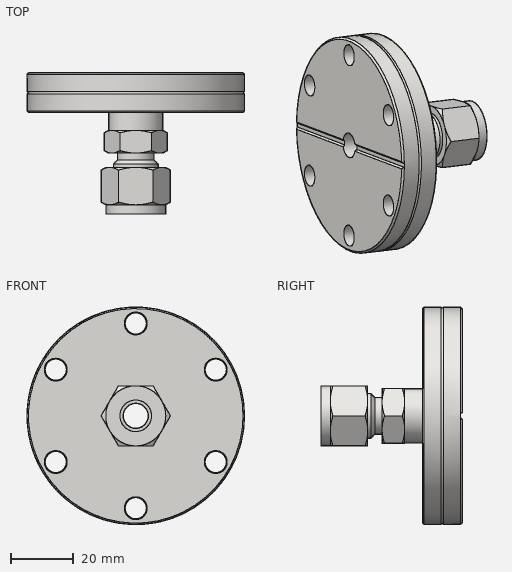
import cadquery as cq
import math


flange_diameter = 69.1
flange_thickness = 12.7
back_chamfer = 0.6
front_chamfer = 0.5
rim_groove_depth = 0.3
rim_groove_width = 0.8
rim_groove_from_back = 6.4
bolt_count = 6
bolt_circle_diameter = 58.7
bolt_hole_diameter = 6.7
bolt_hole_chamfer = 0.3
leak_groove_depth = 0.6
leak_groove_mouth = 2.35
leak_groove_floor = 1.25

bore_diameter = 7.9
stub_diameter = 17.3
stub_end = 5.7
body_hex_flats = 17.4
body_hex_end = 12.85
neck_diameter = 11.75
neck_end = 15.1
collar_diameter = 14.3
collar_cone_length = (collar_diameter - neck_diameter) / 2
collar_end = 17.4

nut_start = collar_end
nut_hex_flats = 19.1
nut_shoulder_diameter = nut_hex_flats
nut_hex_end = 29.3
nut_end = 32.3
tube_bore_diameter = 10.0

hex_sides = 6
hex_chamfer_angle = 30.0


def cylinder(diameter, start, end):
    """Cylinder on the Y axis between two distances in front of the flange face."""
    return cq.Workplane("XZ", origin=(0, -start, 0)).circle(diameter / 2).extrude(end - start)


def chamfered_hexagon(flats, start, end):
    """Hexagonal prism on the Y axis, corners on X, with conical corner chamfers at both ends."""
    corners = flats / math.cos(math.pi / hex_sides)
    prism = cq.Workplane("XZ", origin=(0, -start, 0)).polygon(hex_sides, corners).extrude(end - start)
    chamfer_radial = (corners - flats) / 2
    chamfer_axial = chamfer_radial * math.tan(math.radians(hex_chamfer_angle))
    envelope = cylinder(corners, start, end)
    envelope = envelope.faces("<Y or >Y").edges().chamfer(chamfer_axial, chamfer_radial)
    return prism.intersect(envelope)


def revolved(profile):
    """Solid of revolution about Y from (radius, y) points."""
    return cq.Workplane("XY").polyline(profile).close().revolve(360, (0, 0, 0), (0, 1, 0))


def flange_disc():
    """Disc with chamfered rims and a rounded groove around its outer surface."""
    radius = flange_diameter / 2
    groove_middle = flange_thickness - rim_groove_from_back
    profile = (
        cq.Workplane("XY")
        .lineTo(radius - front_chamfer, 0)
        .lineTo(radius, front_chamfer)
        .lineTo(radius, groove_middle - rim_groove_width / 2)
        .threePointArc(
            (radius - rim_groove_depth, groove_middle),
            (radius, groove_middle + rim_groove_width / 2),
        )
        .lineTo(radius, flange_thickness - back_chamfer)
        .lineTo(radius - back_chamfer, flange_thickness)
        .lineTo(0, flange_thickness)
        .close()
    )
    return profile.revolve(360, (0, 0, 0), (0, 1, 0))


def bolt_holes():
    """Ring of through holes, each with a countersunk front edge."""
    radius = bolt_hole_diameter / 2
    cutter = revolved([
        (0, 0),
        (radius + bolt_hole_chamfer, 0),
        (radius, bolt_hole_chamfer),
        (radius, flange_thickness),
        (0, flange_thickness),
    ]).translate((0, 0, bolt_circle_diameter / 2))
    holes = cq.Workplane("XY")
    for index in range(bolt_count):
        holes = holes.add(cutter.rotate((0, 0, 0), (0, 1, 0), index * 360 / bolt_count))
    return holes.combine()


def leak_groove():
    """Shallow groove with sloping sides along X, across the back face."""
    return (
        cq.Workplane("YZ")
        .polyline([
            (flange_thickness, leak_groove_mouth / 2),
            (flange_thickness - leak_groove_depth, leak_groove_floor / 2),
            (flange_thickness - leak_groove_depth, -leak_groove_floor / 2),
            (flange_thickness, -leak_groove_mouth / 2),
        ])
        .close()
        .extrude(flange_diameter / 2, both=True)
    )


def make_flange():
    """Flange disc with bolt holes, leak check groove and central bore."""
    bore = cylinder(bore_diameter, -flange_thickness, 0)
    return flange_disc().cut(bolt_holes()).cut(leak_groove()).cut(bore)


def make_body():
    """Round stub, hexagon, neck and conical collar, bored through."""
    stub = cylinder(stub_diameter, 0, stub_end)
    hexagon = chamfered_hexagon(body_hex_flats, stub_end, body_hex_end)
    neck_and_collar = revolved([
        (0, -body_hex_end),
        (neck_diameter / 2, -body_hex_end),
        (neck_diameter / 2, -neck_end),
        (collar_diameter / 2, -neck_end - collar_cone_length),
        (collar_diameter / 2, -collar_end),
        (0, -collar_end),
    ])
    return stub.union(hexagon).union(neck_and_collar).cut(cylinder(bore_diameter, 0, collar_end))


def make_nut():
    """Hexagon nut with a round shoulder, seated on the collar end."""
    hexagon = chamfered_hexagon(nut_hex_flats, nut_start, nut_hex_end)
    shoulder = cylinder(nut_shoulder_diameter, nut_hex_end, nut_end)
    return hexagon.union(shoulder).cut(cylinder(tube_bore_diameter, nut_start, nut_end))


flange_with_body = make_flange().union(make_body())
nut = make_nut()

result = cq.Compound.makeCompound([flange_with_body.val(), nut.val()])